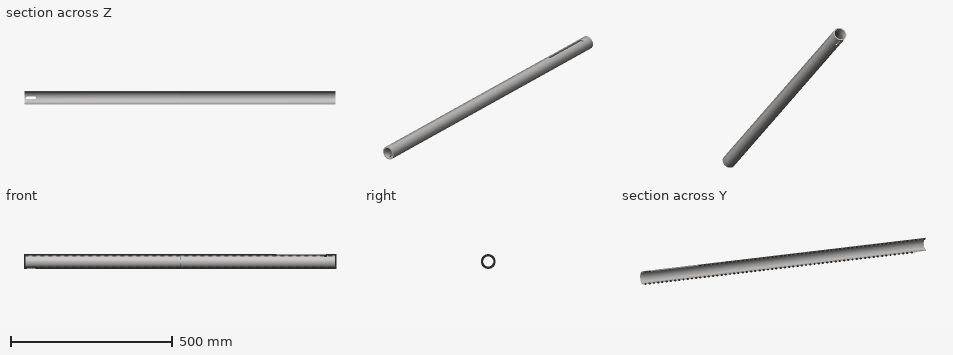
import cadquery as cq

TUBE_LENGTH = 965.2
OUTER_DIAMETER = 42.16
INNER_DIAMETER = 35.05

SLOT_WIDTH = 6.35

J_END_MARGIN = 28.8
J_LENGTH = 158.4
HOOK_REACH = 6.35

BOTTOM_END_MARGIN = 4.7
BOTTOM_LENGTH = 31.75

outer_radius = OUTER_DIAMETER / 2
tube_end_x = TUBE_LENGTH / 2
slot_radius = SLOT_WIDTH / 2

hook_x = tube_end_x - J_END_MARGIN - slot_radius
j_start_x = hook_x - (J_LENGTH - SLOT_WIDTH)
bottom_start_x = -tube_end_x + BOTTOM_END_MARGIN + slot_radius
bottom_end_x = bottom_start_x + BOTTOM_LENGTH - SLOT_WIDTH


def make_tube():
    """Plain round tube, open at both ends."""
    return (
        cq.Workplane("YZ")
        .circle(outer_radius)
        .circle(INNER_DIAMETER / 2)
        .extrude(tube_end_x, both=True)
    )


def lengthwise_cutter(start_x, end_x, height):
    """Round-ended prism along the tube axis, rising (or, if negative, dropping) by height."""
    return (
        cq.Workplane("XY")
        .center((start_x + end_x) / 2, 0)
        .slot2D(end_x - start_x + SLOT_WIDTH, SLOT_WIDTH)
        .extrude(height)
    )


def hook_cutter():
    """Short round-ended prism across the tube, from its axis towards -Y."""
    return (
        cq.Workplane("XY")
        .center(hook_x, -HOOK_REACH / 2)
        .slot2D(HOOK_REACH + SLOT_WIDTH, SLOT_WIDTH, 90)
        .extrude(outer_radius)
    )


def make_j_slot_cutter():
    """Long leg along the tube joined to the hook at its +X end."""
    return lengthwise_cutter(j_start_x, hook_x, outer_radius).union(hook_cutter())


def make_bottom_slot_cutter():
    """Straight slot through the bottom wall only."""
    return lengthwise_cutter(bottom_start_x, bottom_end_x, -outer_radius)


result = make_tube().cut(make_j_slot_cutter()).cut(make_bottom_slot_cutter())